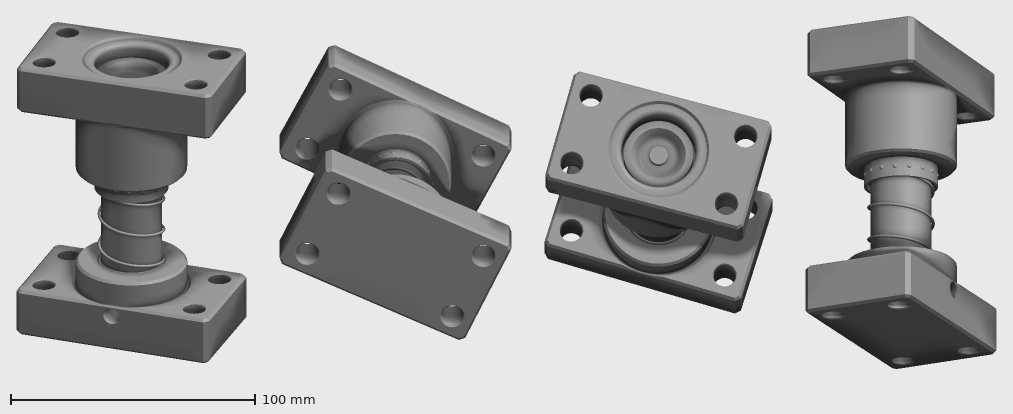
import cadquery as cq

TOTAL_HEIGHT = 121.5
PLATE_THICKNESS = 20.0
COLLAR_TOP = 30.3
CAGE_BOTTOM = 63.1
HOUSING_BOTTOM = 71.2
CAP_TOP = 115.0

PLATE_LENGTH = 84.0
PLATE_DEPTH = 48.0
PLATE_CORNER = 2.0
EDGE_CHAMFER = 1.1
BOLT_SPACING_X = 65.6
BOLT_SPACING_Y = 29.9
BOLT_HOLE_RADIUS = 4.6
BOLT_HOLE_CHAMFER = 0.4
BORE_CHAMFER = 1.0

SEAT_RADIUS = 23.5
SEAT_FLOOR = 10.0
SET_HOLE_RADIUS = 3.5
SET_HOLE_HEIGHT = 15.2
BARREL_RADIUS = 22.8
BARREL_CHAMFER = 1.0

UPPER_PLATE_TURN = 1.6
BARREL_LENGTH = TOTAL_HEIGHT - PLATE_THICKNESS - HOUSING_BOTTOM
BARREL_FILLET = 1.0
LINER_RADIUS = 19.8
LINER_TOP = TOTAL_HEIGHT - BORE_CHAMFER
LINER_FILLET = 2.1

PILLAR_RADIUS = 12.5
GROOVE_DEPTH = 1.0
GROOVE_FLOOR_WIDTH = 5.1
CAP_RADIUS = 14.2
CAP_RIM_RADIUS = 11.2
CAP_CONE_RADIUS = 8.6
CAP_CONE_BOTTOM = CAP_TOP - (CAP_RIM_RADIUS - CAP_CONE_RADIUS)
CAP_FLOOR_RADIUS = 7.0
CAP_FLOOR = 111.7
CAP_FLOOR_THICKNESS = 3.0
CAP_BOTTOM = CAP_FLOOR - CAP_FLOOR_THICKNESS

SCREW_RADIUS = 4.0
SCREW_TOP = 113.3
SCREW_LENGTH = 14.6
SCREW_CHAMFER = 0.4

CAGE_RADIUS = 15.2
BALL_COUNT = 16
BALL_RADIUS = 1.1
BALL_PROTRUSION = 0.5
BALL_HEIGHT = 67.3
BALL_START_ANGLE = -6.2

WIRE_RADIUS = 0.6
COIL_RADIUS = 13.2
SPRING_PITCH = 13.9
SPRING_BOTTOM = 29.9
SPRING_START_ANGLE = 30.0
SPRING_TURNS = 2.5
POCKET_RADIUS = COIL_RADIUS + WIRE_RADIUS + 0.1
POCKET_DEPTH = 2.4


def cylinder(radius, bottom, top):
    return cq.Workplane("XY").workplane(offset=bottom).circle(radius).extrude(top - bottom)


def revolved(profile):
    """Spin a closed radius-height profile about Z."""
    return profile.close().revolve(360, (0, 0, 0), (0, 1, 0))


def bolt_hole():
    """Cutter for a hole through a plate with a chamfer at both mouths."""
    mouth = BOLT_HOLE_RADIUS + BOLT_HOLE_CHAMFER
    return revolved(
        cq.Workplane("XZ").polyline([
            (0, 0),
            (mouth, 0),
            (BOLT_HOLE_RADIUS, BOLT_HOLE_CHAMFER),
            (BOLT_HOLE_RADIUS, PLATE_THICKNESS - BOLT_HOLE_CHAMFER),
            (mouth, PLATE_THICKNESS),
            (0, PLATE_THICKNESS),
        ])
    )


def bolt_plate():
    """Chamfered plate lying on Z = 0 with its four bolt holes."""
    body = (
        cq.Workplane("XY")
        .rect(PLATE_LENGTH, PLATE_DEPTH)
        .extrude(PLATE_THICKNESS)
        .edges("|Z")
        .chamfer(PLATE_CORNER)
        .faces("<Z or >Z")
        .chamfer(EDGE_CHAMFER)
    )
    hole = bolt_hole()
    for x in (-BOLT_SPACING_X / 2, BOLT_SPACING_X / 2):
        for y in (-BOLT_SPACING_Y / 2, BOLT_SPACING_Y / 2):
            body = body.cut(hole.translate((x, y, 0)))
    return body


def set_hole():
    """Cutter for the radial hole from the front face to the pillar's axis."""
    return (
        cq.Workplane("XZ")
        .center(0, SET_HOLE_HEIGHT)
        .circle(SET_HOLE_RADIUS)
        .extrude(PLATE_DEPTH / 2)
    )


def make_lower_plate():
    """Plate with a chamfered blind seat for the collar."""
    seat = revolved(
        cq.Workplane("XZ").polyline([
            (0, SEAT_FLOOR),
            (SEAT_RADIUS, SEAT_FLOOR),
            (SEAT_RADIUS, PLATE_THICKNESS - BORE_CHAMFER),
            (SEAT_RADIUS + BORE_CHAMFER, PLATE_THICKNESS),
            (0, PLATE_THICKNESS),
        ])
    )
    return bolt_plate().cut(seat).cut(set_hole())


def barrel_fillet():
    """Concave ring where the barrel meets the plate, kept inside the plate's face."""
    foot = BARREL_RADIUS + BARREL_FILLET
    top = PLATE_THICKNESS + BARREL_FILLET
    ring = revolved(
        cq.Workplane("XZ")
        .moveTo(LINER_RADIUS, PLATE_THICKNESS)
        .lineTo(foot, PLATE_THICKNESS)
        .radiusArc((BARREL_RADIUS, top), BARREL_FILLET)
        .lineTo(LINER_RADIUS, top)
    )
    face = (
        cq.Workplane("XY")
        .workplane(offset=PLATE_THICKNESS)
        .rect(PLATE_LENGTH, PLATE_DEPTH - 2 * EDGE_CHAMFER)
        .extrude(BARREL_FILLET)
    )
    return ring.intersect(face)


def make_housing():
    """Upper plate with its barrel, modelled barrel-up and then turned over."""
    barrel = (
        cylinder(BARREL_RADIUS, PLATE_THICKNESS, PLATE_THICKNESS + BARREL_LENGTH)
        .faces(">Z")
        .chamfer(BARREL_CHAMFER)
    )
    mouth = revolved(
        cq.Workplane("XZ").polyline([
            (0, 0),
            (LINER_RADIUS + BORE_CHAMFER, 0),
            (LINER_RADIUS, BORE_CHAMFER),
            (0, BORE_CHAMFER),
        ])
    )
    return (
        bolt_plate()
        .union(barrel)
        .union(barrel_fillet())
        .cut(mouth)
        .cut(cylinder(LINER_RADIUS, 0, PLATE_THICKNESS + BARREL_LENGTH))
        .rotate((0, 0, 0), (1, 0, 0), 180)
        .rotate((0, 0, 0), (0, 0, 1), UPPER_PLATE_TURN)
        .translate((0, 0, TOTAL_HEIGHT))
    )


def make_liner():
    """Guide sleeve inside the housing, rounded at its upper mouth."""
    return (
        cylinder(LINER_RADIUS, HOUSING_BOTTOM, LINER_TOP)
        .cut(cylinder(CAGE_RADIUS, HOUSING_BOTTOM, LINER_TOP))
        .faces(">Z")
        .edges(cq.selectors.RadiusNthSelector(0))
        .fillet(LINER_FILLET)
    )


def make_collar():
    """Collar seated in the lower plate, with a filleted foot and a pocket for the spring."""
    foot_fillet = SEAT_RADIUS - BARREL_RADIUS
    foot_top = PLATE_THICKNESS - BORE_CHAMFER
    body = revolved(
        cq.Workplane("XZ")
        .moveTo(0, SEAT_FLOOR)
        .lineTo(SEAT_RADIUS, SEAT_FLOOR)
        .lineTo(SEAT_RADIUS, foot_top)
        .radiusArc((BARREL_RADIUS, foot_top + foot_fillet), foot_fillet)
        .lineTo(BARREL_RADIUS, COLLAR_TOP - BARREL_CHAMFER)
        .lineTo(BARREL_RADIUS - BARREL_CHAMFER, COLLAR_TOP)
        .lineTo(0, COLLAR_TOP)
    )
    return (
        body
        .cut(cylinder(PILLAR_RADIUS, SEAT_FLOOR, COLLAR_TOP))
        .cut(cylinder(POCKET_RADIUS, COLLAR_TOP - POCKET_DEPTH, COLLAR_TOP))
        .cut(set_hole())
    )


def make_pillar():
    """Pillar with a groove behind the set hole and a socket for the screw."""
    floor_radius = PILLAR_RADIUS - GROOVE_DEPTH
    half_floor = GROOVE_FLOOR_WIDTH / 2
    half_mouth = half_floor + GROOVE_DEPTH
    return revolved(
        cq.Workplane("XZ").polyline([
            (0, SEAT_FLOOR),
            (PILLAR_RADIUS, SEAT_FLOOR),
            (PILLAR_RADIUS, SET_HOLE_HEIGHT - half_mouth),
            (floor_radius, SET_HOLE_HEIGHT - half_floor),
            (floor_radius, SET_HOLE_HEIGHT + half_floor),
            (PILLAR_RADIUS, SET_HOLE_HEIGHT + half_mouth),
            (PILLAR_RADIUS, CAP_BOTTOM),
            (0, CAP_BOTTOM),
        ])
    ).cut(make_screw())


def make_cage():
    """Ball cage sleeve with its ring of captive balls."""
    ball = cq.Workplane("XY").sphere(BALL_RADIUS).translate(
        (CAGE_RADIUS + BALL_PROTRUSION - BALL_RADIUS, 0, BALL_HEIGHT)
    )
    cage = cylinder(CAGE_RADIUS, CAGE_BOTTOM, CAP_BOTTOM)
    for i in range(BALL_COUNT):
        angle = BALL_START_ANGLE + i * 360 / BALL_COUNT
        cage = cage.union(ball.rotate((0, 0, 0), (0, 0, 1), angle))
    return (
        cage
        .cut(cylinder(PILLAR_RADIUS, CAGE_BOTTOM, CAP_BOTTOM))
        .cut(cylinder(POCKET_RADIUS, CAGE_BOTTOM, CAGE_BOTTOM + POCKET_DEPTH))
    )


def make_cap():
    """Dished retaining cap on top of the pillar."""
    return revolved(
        cq.Workplane("XZ")
        .moveTo(0, CAP_BOTTOM)
        .lineTo(CAP_RADIUS, CAP_BOTTOM)
        .lineTo(CAP_RADIUS, CAP_TOP)
        .lineTo(CAP_RIM_RADIUS, CAP_TOP)
        .lineTo(CAP_CONE_RADIUS, CAP_CONE_BOTTOM)
        .tangentArcPoint((CAP_FLOOR_RADIUS, CAP_FLOOR), relative=False)
        .lineTo(0, CAP_FLOOR)
    ).cut(make_screw())


def make_screw():
    """Screw through the cap into the pillar."""
    return (
        cylinder(SCREW_RADIUS, SCREW_TOP - SCREW_LENGTH, SCREW_TOP)
        .faces(">Z")
        .chamfer(SCREW_CHAMFER)
    )


def make_spring():
    """Left-hand coil spring that rises from a flat end coil."""
    helix = cq.Wire.makeHelix(
        SPRING_PITCH, SPRING_PITCH * SPRING_TURNS, COIL_RADIUS, lefthand=True
    )
    coils = (
        cq.Workplane("XZ")
        .center(COIL_RADIUS, 0)
        .circle(WIRE_RADIUS)
        .sweep(cq.Workplane(obj=helix), isFrenet=True)
        .rotate((0, 0, 0), (0, 0, 1), SPRING_START_ANGLE)
    )
    end_coil = cq.Workplane(obj=cq.Solid.makeTorus(COIL_RADIUS, WIRE_RADIUS))
    return end_coil.union(coils).translate((0, 0, SPRING_BOTTOM))


lower_plate = make_lower_plate()
collar = make_collar()
pillar = make_pillar()
spring = make_spring()
cage = make_cage()
housing = make_housing()
liner = make_liner()
cap = make_cap()
screw = make_screw()

result = cq.Compound.makeCompound([
    lower_plate.val(),
    collar.val(),
    pillar.val(),
    spring.val(),
    cage.val(),
    housing.val(),
    liner.val(),
    cap.val(),
    screw.val(),
])